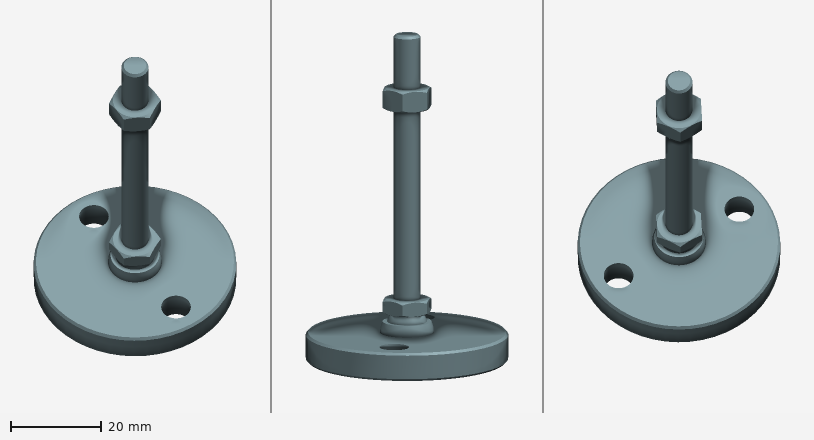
import cadquery as cq
import math

plate_diameter = 45.0
plate_thickness = 6.4
plate_chamfer = 0.5
mount_hole_diameter = 6.6
mount_hole_offset = 16.0

collar_radius = 6.0
collar_top = 8.9

ball_radius = 4.5
ball_center_height = 8.0

overall_height = 74.0
rod_diameter = 6.0
rod_chamfer = 0.5
spindle_hex_bottom = 10.8
spindle_hex_height = 3.3

hex_across_flats = 10.0
hex_face_radius = 4.9
hex_chamfer_angle = 30.0

nut_top = 62.0
nut_height = 4.8


def ball():
    return cq.Workplane("XY").sphere(ball_radius).translate((0, 0, ball_center_height))


def chamfered_hexagon(bottom, height):
    """Hexagonal prism with corners on X, its corners cut by a cone at both ends."""
    corner_radius = hex_across_flats / 2 / math.cos(math.radians(30))
    prism = cq.Workplane("XY").polygon(6, 2 * corner_radius).extrude(height)

    envelope_radius = corner_radius + 0.1
    cone_height = (envelope_radius - hex_face_radius) * math.tan(math.radians(hex_chamfer_angle))
    envelope = (
        cq.Workplane("XZ")
        .moveTo(0, 0)
        .lineTo(hex_face_radius, 0)
        .lineTo(envelope_radius, cone_height)
        .lineTo(envelope_radius, height - cone_height)
        .lineTo(hex_face_radius, height)
        .lineTo(0, height)
        .close()
        .revolve(360, (0, 0, 0), (0, 1, 0))
    )
    return prism.intersect(envelope).translate((0, 0, bottom))


def make_foot():
    plate = (
        cq.Workplane("XY")
        .circle(plate_diameter / 2)
        .extrude(plate_thickness)
        .edges()
        .chamfer(plate_chamfer)
    )
    collar_height = collar_top - plate_thickness
    dome = cq.Workplane("XY").sphere(collar_radius)
    collar_slab = cq.Workplane("XY").circle(collar_radius).extrude(collar_height)
    collar = dome.intersect(collar_slab).translate((0, 0, plate_thickness))
    mount_holes = (
        cq.Workplane("XY")
        .pushPoints([(-mount_hole_offset, 0), (mount_hole_offset, 0)])
        .circle(mount_hole_diameter / 2)
        .extrude(plate_thickness)
    )
    return plate.union(collar).cut(mount_holes).cut(ball())


def make_spindle():
    hexagon = chamfered_hexagon(spindle_hex_bottom, spindle_hex_height)
    rod = (
        cq.Workplane("XY")
        .workplane(offset=ball_center_height)
        .circle(rod_diameter / 2)
        .extrude(overall_height - ball_center_height)
        .faces(">Z")
        .chamfer(rod_chamfer)
    )
    ball_top_trim = (
        cq.Workplane("XY")
        .workplane(offset=spindle_hex_bottom)
        .circle(ball_radius)
        .extrude(ball_radius)
    )
    return ball().cut(ball_top_trim).union(hexagon).union(rod)


def make_lock_nut():
    bore = (
        cq.Workplane("XY")
        .workplane(offset=nut_top - nut_height)
        .circle(rod_diameter / 2)
        .extrude(nut_height)
    )
    return chamfered_hexagon(nut_top - nut_height, nut_height).cut(bore)


foot = make_foot()
spindle = make_spindle()
lock_nut = make_lock_nut()

result = cq.Compound.makeCompound([body.solids().val() for body in (foot, spindle, lock_nut)])